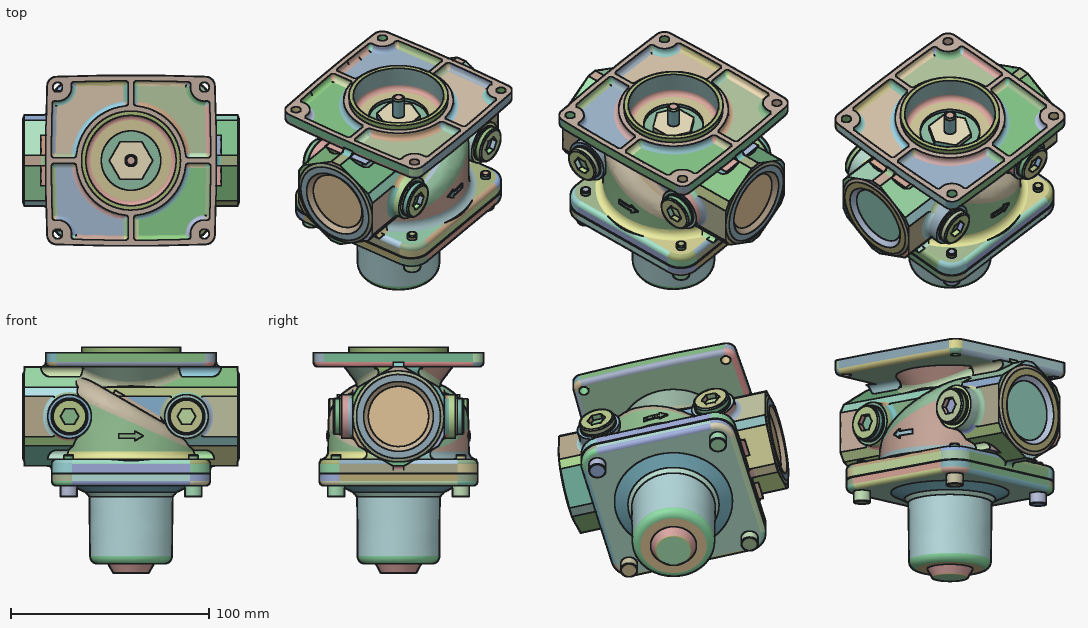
import cadquery as cq
import math


port_end_x = 54.5
port_shoulder_x = 53.8
port_flats = 46.0
port_corner_flats = 50.0
port_face_radius = 21.2
port_mouth_radius = 17.6
port_floor_radius = 15.2
port_depth = 2.4

plate_top_z = 32.2
plate_bottom_z = 25.0
plate_half_corner = 42.2
plate_half_middle = 43.1
plate_corner_radius = 5.0
plate_edge_fillet = 2.5
plate_hole_offset = 37.0
plate_hole_diameter = 4.83
pocket_depth = 3.5
pocket_fillet = 2.4
pocket_corner_fillet = 1.5
pocket_rim_width = 2.9
rib_width = 2.8
pocket_inner_radius = 27.7
hole_boss_radius = 7.0

spigot_top_z = 35.0
spigot_diameter = 50.0
bore_radius = 22.8
bore_floor_z = 22.0
bore_fillet = 2.4
recess_diameter = 30.0
recess_floor_z = 20.3
nut_flats = 19.0
nut_top_z = 23.0
stem_diameter = 6.0
stem_top_z = 34.0
stem_chamfer = 0.8

neck_top_radius = 27.3
neck_base_radius = 18.3
neck_base_z = 13.0
neck_fillet = 2.8
neck_blend_top_z = 24.0

dome_top_radius = 34.9
dome_base_radius = 35.6
dome_slope = 30.0
dome_axis_z = 6.3
dome_edge_fillet = 8.0
ridge_fillet = 2.0
ridge_start_x = -9.0
ridge_end_x = 18.0
dome_root_fillet = 3.8

arrow_center_z = -9.8
arrow_length = 12.4
arrow_head_length = 4.2
arrow_head_width = 4.9
arrow_shaft_width = 2.3
arrow_height = 0.5

inlet_plug_x = -31.0
inlet_boss_end_y = 31.0
outlet_plug_x = 28.0
outlet_boss_end_y = 28.6
plug_places = ((inlet_plug_x, inlet_boss_end_y), (outlet_plug_x, outlet_boss_end_y))
boss_radius = 11.0
boss_fillet = 2.5
rim_margin = 0.5
rim_depth = 3.5
washer_diameter = 18.5
washer_height = 1.1
plug_diameter = 18.0
plug_height = 3.2
plug_chamfer = 0.7
plug_socket_flats = 8.0
plug_socket_depth = 3.0

flange_top_z = -21.6
gasket_top_z = -28.7
gasket_bottom_z = -29.0
gasket_inset = 0.3
cover_bottom_z = -35.0
flange_half = 40.0
flange_corner_radius = 10.3
flange_edge_fillet = 2.4

web_radius = 2.7
plate_web_end_radius = 5.0
flange_web_end_radius = 4.6
plate_toe_fillet = 2.4
flange_toe_fillet = 2.0

bolt_offset = 31.45
bolt_head_diameter = 8.5
bolt_head_bottom_z = -40.6
bolt_head_chamfer = 0.3
bolt_tip_diameter = 4.83
bolt_tip_top_z = -19.2
bolt_tip_chamfer = 0.6

cap_collar_radius = 29.8
cap_shoulder_radius = 23.0
cap_shoulder_z = -38.3
cap_top_radius = 21.1
cap_top_z = -40.4
cap_base_radius = 20.7
cap_bottom_z = -74.4
cap_edge_fillet = 4.0
tip_top_radius = 11.6
tip_bottom_radius = 9.0
tip_bottom_z = -79.0
tip_edge_fillet = 0.8

quadrants = [(sx, sy) for sx in (-1, 1) for sy in (-1, 1)]


def disc(radius, z_low, z_high):
    return cq.Workplane("XY").workplane(offset=z_low).circle(radius).extrude(z_high - z_low)


def hexagon_across(flats):
    """Diameter of the circle through the corners of a hexagon."""
    return flats / math.cos(math.radians(30))


def revolve_z(profile):
    return profile.close().revolve(360, (0, 0, 0), (0, 1, 0))


def make_neck():
    """Cone under the plate, running down inside the ports."""
    draft = (neck_top_radius - neck_base_radius) / (plate_bottom_z - neck_base_z)
    foot_radius = neck_base_radius - draft * neck_base_z
    top_z = plate_bottom_z + 1
    return revolve_z(
        cq.Workplane("XZ").lineTo(foot_radius, 0)
        .lineTo(neck_top_radius + draft, top_z).lineTo(0, top_z)
    )


def cut_port_corners(bar):
    """Plane the corners of the hexagon bar down to the trimming hexagon, except the one under the plate."""
    width = (hexagon_across(port_flats) - port_corner_flats) * math.tan(math.radians(60))
    depth = port_flats / 4
    planer = cq.Workplane("XY").box(2 * port_shoulder_x, depth, width)
    planer = planer.translate((0, (port_corner_flats + depth) / 2, 0))
    for angle in (-30, 30, 150, 210, 270):
        bar = bar.cut(planer.rotate((0, 0, 0), (1, 0, 0), angle))
    return bar


def make_ports():
    """Hexagon bar along X with planed corners, blended into the neck, with a raised round face at each end."""
    neck = make_neck()
    start = cq.Workplane("YZ").workplane(offset=-port_shoulder_x)
    bar = start.polygon(6, hexagon_across(port_flats)).extrude(2 * port_shoulder_x)
    bar = bar.rotate((0, 0, 0), (1, 0, 0), 30)
    below = disc(2 * port_end_x, -port_flats, neck_blend_top_z)
    above = disc(2 * port_end_x, neck_blend_top_z, port_corner_flats / 2)
    blended = bar.union(neck).intersect(below).edges("%ELLIPSE").fillet(neck_fillet)
    ports = cut_port_corners(blended).union(bar.intersect(above)).union(neck)
    face_height = port_end_x - port_shoulder_x
    for side in (-1, 1):
        plane = cq.Plane((side * port_shoulder_x, 0, 0), (0, 1, 0), (side, 0, 0))
        face = cq.Workplane(plane).circle(port_flats / 2).workplane(offset=face_height)
        ports = ports.union(face.circle(port_face_radius).loft())
    return ports


def cut_port_mouths(body):
    for side in (-1, 1):
        plane = cq.Plane((side * port_end_x, 0, 0), (0, 1, 0), (-side, 0, 0))
        mouth = cq.Workplane(plane).circle(port_mouth_radius).workplane(offset=port_depth)
        body = body.cut(mouth.circle(port_floor_radius).loft())
    return body


def make_dome():
    """Drafted drum cut by the sloping plane and rounded over."""
    drum_top_z = 40.0
    root_z = flange_top_z - 1
    drum = revolve_z(
        cq.Workplane("XZ").moveTo(0, root_z).lineTo(dome_base_radius, root_z)
        .lineTo(dome_base_radius, flange_top_z + dome_root_fillet)
        .lineTo(dome_top_radius, drum_top_z).lineTo(0, drum_top_z)
    )
    cutter_size = 200.0
    cutter = cq.Workplane("XY").box(cutter_size, cutter_size, cutter_size, centered=(True, True, False))
    cutter = cutter.rotate((0, 0, 0), (0, 1, 0), dome_slope).translate((0, 0, dome_axis_z))
    sloping_face = drum.cut(cutter).faces(">(1, 0, 2)")
    return sloping_face.edges().fillet(dome_edge_fillet)


def make_dome_root():
    """Concave flare from the drum onto the flange, kept within the flange outline."""
    outer = dome_base_radius + dome_root_fillet
    top = flange_top_z + dome_root_fillet
    flare = revolve_z(
        cq.Workplane("XZ").moveTo(0, flange_top_z - 1).lineTo(outer, flange_top_z - 1)
        .lineTo(outer, flange_top_z)
        .radiusArc((dome_base_radius, top), dome_root_fillet)
        .lineTo(0, top)
    )
    keep = cq.Workplane("XY").box(2 * flange_half, 2 * flange_half, 100).edges("|Z").fillet(flange_corner_radius)
    return flare.intersect(keep)


def add_bosses(ports):
    """Round bosses through the ports for the side plugs, blended into the hexagon faces."""
    for x, end_y in plug_places:
        boss = cq.Workplane("XZ", origin=(x, end_y, 0)).circle(boss_radius).extrude(2 * end_y)
        ports = ports.union(boss)
    reach = boss_radius + rim_margin
    for x, end_y in plug_places:
        for side in (-1, 1):
            near = (x - reach, side * (port_flats / 2 - rim_depth), -reach)
            far = (x + reach, side * (port_flats / 2 + rim_margin), reach)
            ports = ports.edges(cq.selectors.BoxSelector(near, far)).fillet(boss_fillet)
    return ports


def bowed_outline(z, half_corner, half_middle):
    """Square whose sides bulge outwards slightly as arcs."""
    c = half_corner
    m = half_middle
    return (
        cq.Workplane("XY").workplane(offset=z).moveTo(-c, -c)
        .threePointArc((0, -m), (c, -c)).threePointArc((m, 0), (c, c))
        .threePointArc((0, m), (-c, c)).threePointArc((-m, 0), (-c, -c)).close()
    )


def make_plate():
    plate = bowed_outline(plate_bottom_z, plate_half_corner, plate_half_middle)
    plate = plate.extrude(plate_top_z - plate_bottom_z)
    plate = plate.edges("|Z").fillet(plate_corner_radius)
    return plate.faces("<Z").edges().fillet(plate_edge_fillet)


def make_pockets():
    """Four floor-filleted pockets between the rim, the cross ribs, the corner bosses and the centre ring."""
    floor_z = plate_top_z - pocket_depth
    field = bowed_outline(floor_z, plate_half_corner - pocket_rim_width, plate_half_middle - pocket_rim_width)
    field = field.extrude(pocket_depth)
    field = field.cut(disc(pocket_inner_radius, floor_z, plate_top_z))
    span = 2 * plate_half_middle
    middle_z = (floor_z + plate_top_z) / 2
    for size in ((span, rib_width), (rib_width, span)):
        field = field.cut(cq.Workplane("XY").box(*size, pocket_depth).translate((0, 0, middle_z)))
    for sx, sy in quadrants:
        x = sx * plate_hole_offset
        y = sy * plate_hole_offset
        field = field.cut(disc(hole_boss_radius, floor_z, plate_top_z).translate((x, y, 0)))
    field = field.edges("|Z").fillet(pocket_corner_fillet)
    return field.faces("<Z").edges().fillet(pocket_fillet)


def rounded_square(z_low, z_high, inset=0.0):
    side = 2 * (flange_half - inset)
    block = cq.Workplane("XY").workplane(offset=z_low).rect(side, side).extrude(z_high - z_low)
    return block.edges("|Z").fillet(flange_corner_radius - inset)


def make_flange():
    upper = rounded_square(gasket_top_z, flange_top_z).faces(">Z").edges().fillet(flange_edge_fillet)
    lower = rounded_square(cover_bottom_z, gasket_bottom_z).faces("<Z").edges().fillet(flange_edge_fillet)
    gasket = rounded_square(gasket_bottom_z, gasket_top_z, gasket_inset)
    return upper.union(gasket).union(lower)


def make_cap():
    cap = revolve_z(
        cq.Workplane("XZ").moveTo(0, cap_bottom_z).lineTo(cap_base_radius, cap_bottom_z)
        .lineTo(cap_top_radius, cap_top_z).lineTo(cap_shoulder_radius, cap_shoulder_z)
        .lineTo(cap_collar_radius, cover_bottom_z).lineTo(0, cover_bottom_z)
    ).faces("<Z").edges().fillet(cap_edge_fillet)
    tip = revolve_z(
        cq.Workplane("XZ").moveTo(0, tip_bottom_z).lineTo(tip_bottom_radius, tip_bottom_z)
        .lineTo(tip_top_radius, cap_bottom_z).lineTo(0, cap_bottom_z)
    ).faces("<Z").edges().fillet(tip_edge_fillet)
    return cap.union(tip)


def make_bolt():
    head = disc(bolt_head_diameter / 2, bolt_head_bottom_z, cover_bottom_z).faces("<Z").chamfer(bolt_head_chamfer)
    tip = disc(bolt_tip_diameter / 2, cover_bottom_z, bolt_tip_top_z).faces(">Z").chamfer(bolt_tip_chamfer)
    return head.union(tip)


def make_plug():
    """Washer and socket screw plug pointing to +Y, seated on the XZ plane."""
    washer = cq.Workplane("XZ").circle(washer_diameter / 2).extrude(-washer_height)
    head = cq.Workplane("XZ", origin=(0, washer_height, 0)).circle(plug_diameter / 2).extrude(-plug_height)
    head = head.faces(">Y").chamfer(plug_chamfer)
    socket = cq.Workplane("XZ", origin=(0, washer_height + plug_height, 0))
    socket = socket.polygon(6, hexagon_across(plug_socket_flats)).extrude(plug_socket_depth)
    return washer.union(head).cut(socket)


def make_arrows():
    """Flow arrow pointing to +X, raised from the drum on both sides."""
    tail = -arrow_length / 2
    neck = arrow_length / 2 - arrow_head_length
    outline = [
        (tail, -arrow_shaft_width / 2), (neck, -arrow_shaft_width / 2), (neck, -arrow_head_width / 2),
        (arrow_length / 2, 0),
        (neck, arrow_head_width / 2), (neck, arrow_shaft_width / 2), (tail, arrow_shaft_width / 2),
    ]
    bar = cq.Workplane("XZ", origin=(0, 0, arrow_center_z)).polyline(outline).close()
    bar = bar.extrude(2 * flange_half, both=True)
    return bar.intersect(disc(dome_base_radius + arrow_height, flange_top_z, 0))


def web_end_outline(half_length, corner_radius, flat_height):
    """Bar along Y whose lower corners are quarter rounds, seen along Y."""
    straight = half_length - corner_radius
    low = flat_height - corner_radius
    return (
        cq.Workplane("XZ").moveTo(-straight, low).radiusArc((-half_length, flat_height), corner_radius)
        .lineTo(half_length, flat_height).radiusArc((straight, low), corner_radius)
        .close().extrude(flange_half, both=True)
    )


def make_web(flat_height, half_width, toe_fillet, end_radius):
    """Concave fillets between the upper sloping port faces and a horizontal face, for a plate above them.

    Each web ends in a quarter round outside the plate, and a toe rises from the port ridge to its side wall.
    """
    half_length = half_width + toe_fillet
    half_slope = math.radians(15)
    apex_z = hexagon_across(port_flats) / 2
    ridge_z = port_corner_flats / 2
    wedge_y = (apex_z - flat_height) / math.tan(2 * half_slope)
    reach = web_radius / math.tan(half_slope)
    flat_y = wedge_y + reach
    middle_y = flat_y - web_radius * math.sin(half_slope)
    middle_z = flat_height - web_radius * (1 - math.cos(half_slope))
    slope_y = wedge_y + reach * math.cos(2 * half_slope)
    slope_z = flat_height - reach * math.sin(2 * half_slope)
    section = (
        cq.Workplane("YZ").moveTo(-flat_y, flat_height).lineTo(flat_y, flat_height)
        .threePointArc((middle_y, middle_z), (slope_y, slope_z)).lineTo(-slope_y, slope_z)
        .threePointArc((-middle_y, middle_z), (-flat_y, flat_height)).close()
    )
    web = section.extrude(half_length, both=True)
    web = web.intersect(web_end_outline(half_length, end_radius, flat_height))
    inner = half_width - web_radius
    toe_width = 2 * (apex_z - ridge_z) / math.tan(2 * half_slope)
    for side in (-1, 1):
        toe = cq.Workplane("XZ").moveTo(side * inner, ridge_z).lineTo(side * half_length, ridge_z)
        toe = toe.radiusArc((side * half_width, ridge_z + toe_fillet), side * toe_fillet)
        toe = toe.lineTo(side * inner, ridge_z + toe_fillet).close().extrude(toe_width / 2, both=True)
        web = web.union(toe)
    return web


def make_ridge_fillets():
    """Quarter-round fillets between the sloping top of the dome and the upright port faces."""
    angle = math.radians(dome_slope)
    down_slope = (math.cos(angle), 0, -math.sin(angle))
    start_z = dome_axis_z - ridge_start_x * math.tan(angle)
    plane = cq.Plane((ridge_start_x, port_flats / 2, start_z), (0, 1, 0), down_slope)
    length = (ridge_end_x - ridge_start_x) / math.cos(angle)
    strip = cq.Workplane(plane).lineTo(ridge_fillet, 0).radiusArc((0, ridge_fillet), ridge_fillet)
    strip = strip.close().extrude(length)
    return strip.union(strip.mirror("XZ"))


def cut_bore(body):
    """Stepped bore from the top, with the hexagon nut and the stem standing in it."""
    body = body.cut(disc(bore_radius, bore_floor_z, spigot_top_z).faces("<Z").edges().fillet(bore_fillet))
    body = body.cut(disc(recess_diameter / 2, recess_floor_z, bore_floor_z))
    nut = cq.Workplane("XY").workplane(offset=recess_floor_z)
    nut = nut.polygon(6, hexagon_across(nut_flats)).extrude(nut_top_z - recess_floor_z)
    stem = disc(stem_diameter / 2, nut_top_z, stem_top_z).faces(">Z").chamfer(stem_chamfer)
    return body.union(nut).union(stem)


plate_web = make_web(plate_bottom_z, plate_half_middle, plate_toe_fillet, plate_web_end_radius)
flange_web = make_web(-flange_top_z, flange_half, flange_toe_fillet, flange_web_end_radius).mirror("XY")

body = add_bosses(make_ports())
body = body.union(make_dome()).union(make_ridge_fillets())
body = body.union(plate_web).union(flange_web)
body = body.union(make_dome_root()).union(make_arrows())
body = body.union(make_plate().cut(make_pockets()))
body = body.union(disc(spigot_diameter / 2, plate_top_z - 1, spigot_top_z))
body = body.union(make_flange()).union(make_cap())
body = cut_bore(body)
body = cut_port_mouths(body)

plug = make_plug()
for x, end_y in plug_places:
    outward = plug.translate((x, end_y, 0))
    body = body.union(outward).union(outward.mirror("XZ"))

hole = disc(plate_hole_diameter / 2, plate_bottom_z, plate_top_z)
bolt = make_bolt()
for sx, sy in quadrants:
    body = body.cut(hole.translate((sx * plate_hole_offset, sy * plate_hole_offset, 0)))
    body = body.union(bolt.translate((sx * bolt_offset, sy * bolt_offset, 0)))
result = body